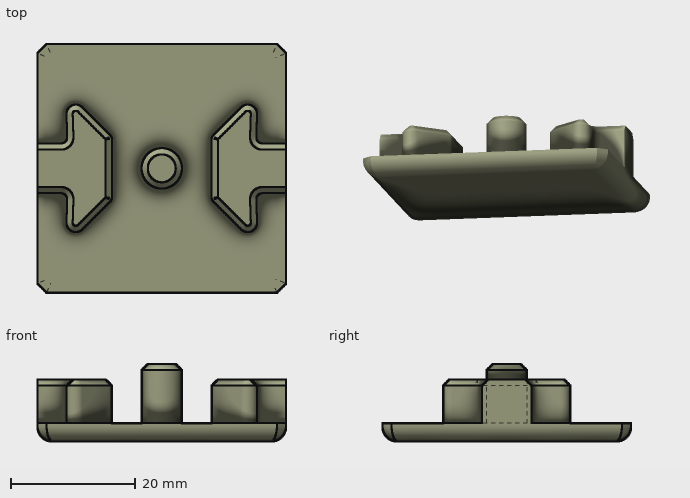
import cadquery as cq
import math

plate_side = 40.0
plate_thickness = 3.0
plate_corner_chamfer = 1.5
plate_bottom_fillet = 2.5

pin_diameter = 6.5
pin_top = 12.5

block_top = 10.0
stem_half_width = 4.0
barb_root_depth = 4.85
barb_back_tilt = 2.0
nose_depth = 12.0
nose_half_width = 5.05
root_fillet = 1.0
barb_tip_fillet = 1.5
nose_corner_fillet = 1.0

top_chamfer = 1.0


def barb_tip():
    """Sharp corner where the leaning barb back meets the 45 degree flank."""
    lean = math.tan(math.radians(barb_back_tilt))
    flank_sum = nose_depth + nose_half_width
    length = (flank_sum - barb_root_depth - stem_half_width) / (1 - lean)
    return barb_root_depth - length * lean, stem_half_width + length


def make_plate():
    plate = cq.Workplane("XY").box(plate_side, plate_side, plate_thickness, centered=(True, True, False))
    plate = plate.edges("|Z").chamfer(plate_corner_chamfer)
    return plate.faces("<Z").edges().fillet(plate_bottom_fillet)


def make_pin():
    """Pin starting at the plate underside, so that the two bodies fuse."""
    pin = cq.Workplane("XY").circle(pin_diameter / 2).extrude(pin_top)
    return pin.faces(">Z").edges().chamfer(top_chamfer)


def fillet_upright_edges(block, corner, radius):
    """Round the two upright edges at (depth, +/-offset)."""
    depth, offset = corner
    middle_z = (plate_thickness + block_top) / 2
    for side in (1, -1):
        point = (depth - plate_side / 2, side * offset, middle_z)
        block = block.edges(cq.selectors.NearestToPointSelector(point)).fillet(radius)
    return block


def make_left_block():
    root = (barb_root_depth, stem_half_width)
    tip = barb_tip()
    nose = (nose_depth, nose_half_width)
    upper = [(0, stem_half_width), root, tip, nose]
    lower = [(depth, -offset) for depth, offset in reversed(upper)]
    block = (
        cq.Workplane("XY", origin=(-plate_side / 2, 0, plate_thickness))
        .polyline(upper + lower)
        .close()
        .extrude(block_top - plate_thickness)
    )
    block = fillet_upright_edges(block, root, root_fillet)
    block = fillet_upright_edges(block, tip, barb_tip_fillet)
    block = fillet_upright_edges(block, nose, nose_corner_fillet)
    return chamfer_block_top(block)


def chamfer_block_top(block):
    """Bevel the whole top outline except the end flush with the plate edge."""
    return block.faces(">Z").edges("not <X").chamfer(top_chamfer)


left_block = make_left_block()
right_block = left_block.mirror("YZ")
result = make_plate().union(make_pin()).union(left_block).union(right_block)